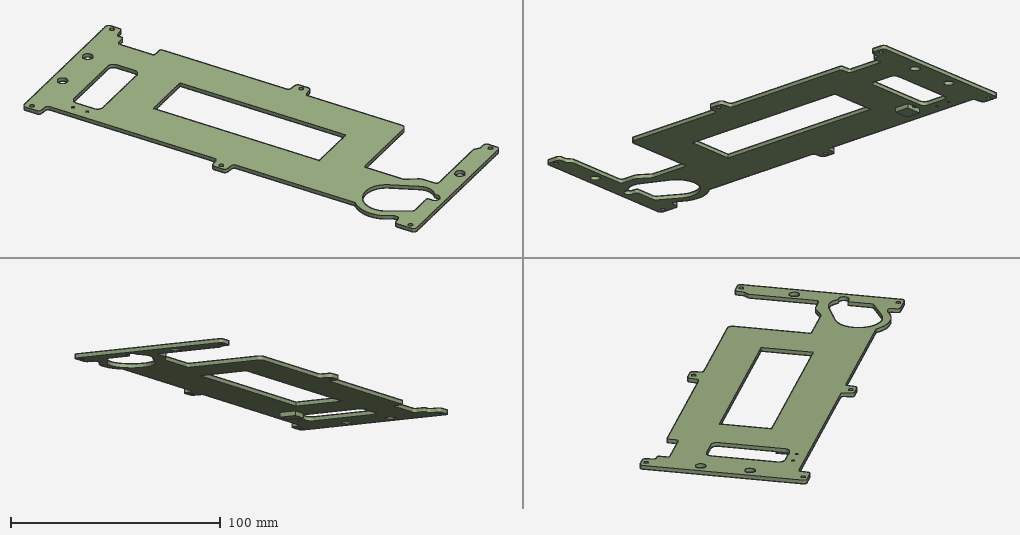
import cadquery as cq
import math

length = 215.5
width = 81.5
total_height = 4.3
plate_thickness = 2.0
block_height = total_height - plate_thickness
half_length = length / 2
half_width = width / 2

body_edge_y = 34.7
lug_corner_radius = 1.7
lug_root_radius = 1.3

lug_lean = 0.6
upper_left_lug_x = -99.8
lower_left_lug_x = -98.3
middle_lug_x = 0.0
middle_lug_half_tip = 3.9
upper_right_lug_x = 99.5
lower_right_lug_x = 96.5

notch_left_x = -95.5
notch_right_x = -75.2
notch_floor_y = 28.9
notch_radius = 1.0

bay_left_x = 59.7
bay_floor_y = -5.5
bay_outer_radius = 2.5
bay_inner_radius = 0.9
ramp_start_x = 81.5
ramp_end_x = 88.4
ramp_radius = 4.3
shelf_y = -1.0
shelf_radius = 1.5
arm_x = 97.5
arm_shoulder_low_y = 33.5
arm_shoulder_high_y = 36.2
arm_shoulder_radius = 0.6

bulge_x = 82.3
bulge_y = -23.5
bulge_radius = 15.7
valley_y = -35.3
valley_radius = 1.0

opening_large_y = -23.7
opening_large_radius = 11.5
opening_small_x = 94.4
opening_small_y = -14.2
opening_small_radius = 7.8
opening_right_x = 99.3
opening_lower_slope = 30.0
opening_corner_radius = 1.7
opening_blend_radius = 0.9

window_left_x = -52.5
window_right_x = 38.4
window_bottom_y = -11.5
window_top_y = 14.0

slot_left_x = -89.6
slot_right_x = -74.0
slot_bottom_y = -25.6
slot_top_y = 12.7
slot_radius = 3.0

screw_hole_diameter = 2.2
screw_hole_x = 103.9
screw_hole_y = 38.4
mount_hole_diameter = 5.0
mount_hole_x = 102.1
mount_hole_y = 12.0
pilot_hole_diameter = 1.3
pilot_hole_xs = (-86.5, -78.7)
pilot_hole_y = -29.5

block_left_x = -70.7
block_length = 7.8
block_width = 8.5
block_center_y = -22.0
tab_reach = 0.6
tab_width = 2.0
tab_height = 0.6


def rounded_outline(corners):
    """Closed outline through (x, y, radius) corners, each rounded by its radius; 0 stays sharp."""
    path = cq.Workplane("XY")
    for i, (x, y, radius) in enumerate(corners):
        corner = cq.Vector(x, y)
        to_last = (cq.Vector(*corners[i - 1][:2]) - corner).normalized()
        to_next = (cq.Vector(*corners[(i + 1) % len(corners)][:2]) - corner).normalized()
        half_angle = to_last.getAngle(to_next) / 2
        setback = radius / math.tan(half_angle)
        arc_start = corner + to_last * setback
        path = path.lineTo(arc_start.x, arc_start.y) if i else path.moveTo(arc_start.x, arc_start.y)
        if radius:
            bisector = (to_last + to_next).normalized()
            arc_middle = corner + bisector * (radius / math.sin(half_angle) - radius)
            arc_end = corner + to_next * setback
            path = path.threePointArc((arc_middle.x, arc_middle.y), (arc_end.x, arc_end.y))
    return path.close()


def point_on_circle(x, y, radius, degrees):
    angle = math.radians(degrees)
    return (x + radius * math.cos(angle), y + radius * math.sin(angle))


def box_between(left, right, bottom, top):
    """Box through the plate thickness between two X and two Y limits."""
    return cq.Workplane("XY").box(
        right - left, top - bottom, plate_thickness, centered=False
    ).translate((left, bottom, 0))


def drills(points, diameter):
    return cq.Workplane("XY").pushPoints(points).circle(diameter / 2).extrude(plate_thickness)


def fillet_upright_edge(solid, corner, radius):
    """Round the upright edge of a plate-thick solid that stands at an (x, y) corner."""
    nearest = cq.selectors.NearestToPointSelector((*corner, plate_thickness / 2))
    return solid.edges("|Z").edges(nearest).fillet(radius)


def middle_lug(side):
    """Corners of the middle lug from left to right; side is 1 on the upper edge, -1 on the lower."""
    tip = middle_lug_half_tip
    root = middle_lug_half_tip + lug_lean
    return [
        (middle_lug_x - root, side * body_edge_y, lug_root_radius),
        (middle_lug_x - tip, side * half_width, lug_corner_radius),
        (middle_lug_x + tip, side * half_width, lug_corner_radius),
        (middle_lug_x + root, side * body_edge_y, lug_root_radius),
    ]


def plate_blank():
    """Plate outline, clockwise from the lower left corner, joined with the round bulge."""
    upper_left = [
        (-half_length, -half_width, lug_corner_radius),
        (-half_length, half_width, lug_corner_radius),
        (upper_left_lug_x, half_width, lug_corner_radius),
        (upper_left_lug_x + lug_lean, body_edge_y, lug_root_radius),
        (notch_left_x, body_edge_y, notch_radius),
        (notch_left_x, notch_floor_y, notch_radius),
        (notch_right_x, notch_floor_y, notch_radius),
        (notch_right_x, body_edge_y, notch_radius),
    ]
    bay = [
        (bay_left_x, body_edge_y, bay_outer_radius),
        (bay_left_x, bay_floor_y, bay_inner_radius),
        (ramp_start_x, bay_floor_y, bay_inner_radius),
        (ramp_end_x, shelf_y, ramp_radius),
        (arm_x, shelf_y, shelf_radius),
        (arm_x, arm_shoulder_low_y, arm_shoulder_radius),
        (upper_right_lug_x, arm_shoulder_high_y, arm_shoulder_radius),
    ]
    right_end = [
        (upper_right_lug_x, half_width, lug_corner_radius),
        (half_length, half_width, lug_corner_radius),
        (half_length, -half_width, lug_corner_radius),
        (lower_right_lug_x, -half_width, lug_corner_radius),
        (lower_right_lug_x - lug_lean, valley_y, lug_root_radius),
        (bulge_x, valley_y, 0),
        (bulge_x, -body_edge_y, 0),
    ]
    lower_left = [
        (lower_left_lug_x + lug_lean, -body_edge_y, lug_root_radius),
        (lower_left_lug_x, -half_width, lug_corner_radius),
    ]
    corners = upper_left + middle_lug(1) + bay + right_end + middle_lug(-1)[::-1] + lower_left
    blank = rounded_outline(corners).extrude(plate_thickness)
    bulge = cq.Workplane("XY").center(bulge_x, bulge_y).circle(bulge_radius).extrude(plate_thickness)
    valley_corner_x = bulge_x + math.sqrt(bulge_radius**2 - (valley_y - bulge_y) ** 2)
    return fillet_upright_edge(blank.union(bulge), (valley_corner_x, valley_y), valley_radius)


def shaped_opening():
    """Two circles with a tangent on the upper left, closed by a slotted right side and a lower slope."""
    large = (bulge_x, opening_large_y, opening_large_radius)
    small = (opening_small_x, opening_small_y, opening_small_radius)

    run = opening_small_x - bulge_x
    rise = opening_small_y - opening_large_y
    taper = math.acos((opening_large_radius - opening_small_radius) / math.hypot(run, rise))
    upper_normal = math.degrees(math.atan2(rise, run) + taper)
    lower_normal = opening_lower_slope - 90
    left_normal = (upper_normal + lower_normal + 360) / 2

    slope_start = point_on_circle(*large, lower_normal)
    slope_rise = (opening_right_x - slope_start[0]) * math.tan(math.radians(opening_lower_slope))
    right_corner = (opening_right_x, slope_start[1] + slope_rise)

    slot_half_width = mount_hole_diameter / 2
    slot_top_y = slot_half_width - mount_hole_y
    slot_bottom_y = -slot_half_width - mount_hole_y
    small_rise = slot_top_y - opening_small_y
    slot_top_corner = (opening_small_x + math.sqrt(opening_small_radius**2 - small_rise**2), slot_top_y)
    slot_bottom_corner = (opening_right_x, slot_bottom_y)
    small_end = math.degrees(math.asin(small_rise / opening_small_radius))

    opening = (
        cq.Workplane("XY")
        .moveTo(*point_on_circle(*large, upper_normal))
        .lineTo(*point_on_circle(*small, upper_normal))
        .threePointArc(point_on_circle(*small, (upper_normal + small_end) / 2), slot_top_corner)
        .lineTo(mount_hole_x, slot_top_y)
        .threePointArc((mount_hole_x + slot_half_width, -mount_hole_y), (mount_hole_x, slot_bottom_y))
        .lineTo(*slot_bottom_corner)
        .lineTo(*right_corner)
        .lineTo(*slope_start)
        .threePointArc(point_on_circle(*large, left_normal), point_on_circle(*large, upper_normal))
        .close()
        .extrude(plate_thickness)
    )
    opening = fillet_upright_edge(opening, right_corner, opening_corner_radius)
    for corner in (slot_top_corner, slot_bottom_corner):
        opening = fillet_upright_edge(opening, corner, opening_blend_radius)
    return opening


def make_plate():
    window = box_between(window_left_x, window_right_x, window_bottom_y, window_top_y)
    slot = box_between(slot_left_x, slot_right_x, slot_bottom_y, slot_top_y).edges("|Z").fillet(slot_radius)
    screw_points = [
        (x, y)
        for x in (-screw_hole_x, middle_lug_x, screw_hole_x)
        for y in (-screw_hole_y, screw_hole_y)
    ]
    mount_points = [
        (-mount_hole_x, -mount_hole_y),
        (-mount_hole_x, mount_hole_y),
        (mount_hole_x, mount_hole_y),
    ]
    pilot_points = [(x, pilot_hole_y) for x in pilot_hole_xs]
    return (
        plate_blank()
        .cut(window)
        .cut(slot)
        .cut(shaped_opening())
        .cut(drills(screw_points, screw_hole_diameter))
        .cut(drills(mount_points, mount_hole_diameter))
        .cut(drills(pilot_points, pilot_hole_diameter))
    )


def make_block():
    """Block hanging from the plate underside, one piece with its tab."""
    block = cq.Workplane("XY").box(
        block_length, block_width, block_height, centered=(False, True, False)
    ).translate((block_left_x, block_center_y, -block_height))
    tab = cq.Workplane("XY").box(
        tab_reach, tab_width, tab_height, centered=(False, True, False)
    ).translate((block_left_x - tab_reach, block_center_y, -tab_height))
    return block.union(tab)


plate = make_plate()
block = make_block()
result = cq.Compound.makeCompound([plate.val(), block.val()])